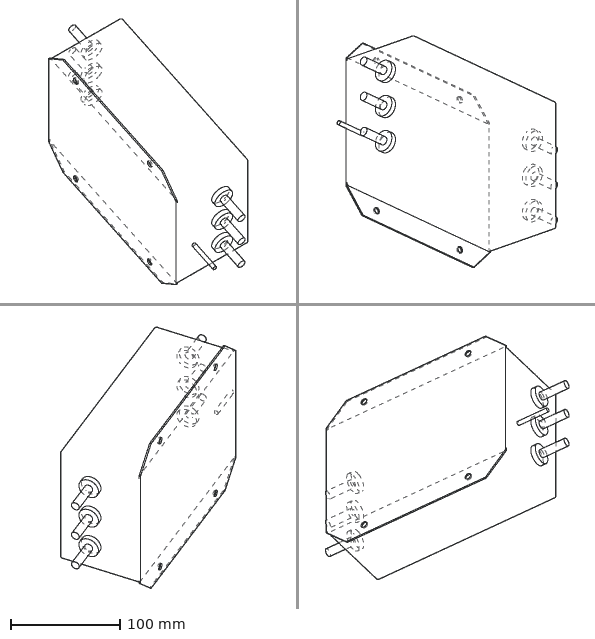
import cadquery as cq

TOTAL_LENGTH = 266.0
TOTAL_DEPTH = 82.0
PLATE_HEIGHT = 172.0

HOUSING_LENGTH = 200.0
HOUSING_HEIGHT = 127.1
HOUSING_EDGE_RADIUS = 2.5
PLATE_THICKNESS = 1.5
FLANGE_HEIGHT = (PLATE_HEIGHT - HOUSING_HEIGHT) / 2

HOLE_DIAMETER = 6.0
HOLE_SPACING_X = 116.0
HOLE_SPACING_Z = 150.0

TERMINAL_COUNT = 3
TERMINAL_PITCH = 35.0
TERMINAL_Y = 50.0
TERMINAL_DIAMETER = 8.0
COLLAR_DIAMETER = 20.0
COLLAR_LENGTH = 5.0
PIN_LENGTH = (TOTAL_LENGTH - HOUSING_LENGTH) / 2

EARTH_DIAMETER = 4.0
EARTH_Y = 20.0
EARTH_Z = -TERMINAL_PITCH / 2


def make_housing():
    """Solid box rounded on its back and lengthwise (Y) edges, with a sharp rim at Y = 0."""
    box = cq.Workplane("XY").box(
        HOUSING_LENGTH, TOTAL_DEPTH, HOUSING_HEIGHT, centered=(True, False, True)
    )
    return box.edges("|Y or >Y").fillet(HOUSING_EDGE_RADIUS)


def make_plate():
    """Mounting plate with its front at Y = 0; the corners taper over the height of the flanges."""
    plate = (
        cq.Workplane("XY")
        .box(HOUSING_LENGTH, PLATE_THICKNESS, PLATE_HEIGHT, centered=(True, False, True))
        .edges("|Y")
        .chamfer(FLANGE_HEIGHT)
    )
    holes = (
        cq.Workplane("XZ")
        .rarray(HOLE_SPACING_X, HOLE_SPACING_Z, 2, 2)
        .circle(HOLE_DIAMETER / 2)
        .extrude(-PLATE_THICKNESS)
    )
    return plate.cut(holes)


def end_cylinder(side, y, z, diameter, length):
    """Cylinder standing out along X from the housing end on the given side (+1 or -1)."""
    return (
        cq.Workplane("YZ", origin=(side * HOUSING_LENGTH / 2, y, z))
        .circle(diameter / 2)
        .extrude(side * length)
    )


def make_terminal(side, z):
    """Terminal pin with a collar around its base."""
    pin = end_cylinder(side, TERMINAL_Y, z, TERMINAL_DIAMETER, PIN_LENGTH)
    collar = end_cylinder(side, TERMINAL_Y, z, COLLAR_DIAMETER, COLLAR_LENGTH)
    return pin.union(collar)


body = make_plate().union(make_housing())
for end_side in (-1, 1):
    for index in range(TERMINAL_COUNT):
        terminal_z = (index - (TERMINAL_COUNT - 1) / 2) * TERMINAL_PITCH
        body = body.union(make_terminal(end_side, terminal_z))

result = body.union(end_cylinder(1, EARTH_Y, EARTH_Z, EARTH_DIAMETER, PIN_LENGTH))